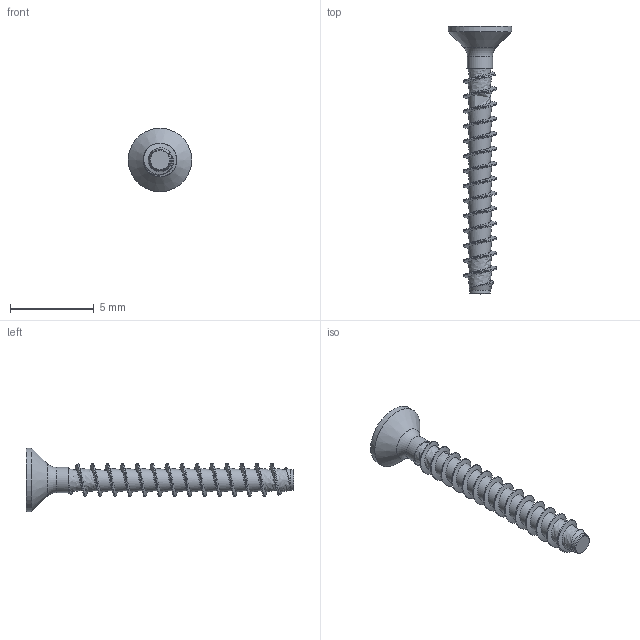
import cadquery as cq
import math


screw_length = 16.0
head_radius = 3.8 / 2
head_rim_height = 0.35
countersink_half_angle = math.radians(45)
neck_fillet_radius = 0.8
shank_radius = 1.5 / 2
shank_end = -2.52

core_radius = 0.62
tip_chamfer = 0.05

thread_radius = 2.0 / 2
pitch = 0.8925
crest_width = 0.06
root_width = 0.19
swell_radius = 0.715
buried_radius = 0.5
turn_gap = 0.005
swell_burial = 0.002
crest_height_at_plus_x = -4.64
turns_below = 13
turns_above = 4

head_fade_radius = 0.82
head_fade_end = -3.73
envelope_radius = 1.1
tip_fade_start = -14.6
tip_fade_end = -15.87
tip_fade_radius = 0.58


def make_head_and_shank():
    """Head, filleted neck and plain shank, as one revolved outline."""
    neck_end_radius = shank_radius + neck_fillet_radius * (1 - math.cos(countersink_half_angle))
    cone_height = (head_radius - neck_end_radius) / math.tan(countersink_half_angle)
    neck_top = -head_rim_height - cone_height
    neck_bottom = neck_top - neck_fillet_radius * math.sin(countersink_half_angle)
    fillet_centre_radius = shank_radius + neck_fillet_radius
    fillet_mid = (
        fillet_centre_radius - neck_fillet_radius * math.cos(countersink_half_angle / 2),
        neck_bottom + neck_fillet_radius * math.sin(countersink_half_angle / 2),
    )
    outline = (
        cq.Workplane("XZ")
        .moveTo(0, 0)
        .lineTo(head_radius, 0)
        .lineTo(head_radius, -head_rim_height)
        .lineTo(neck_end_radius, neck_top)
        .threePointArc(fillet_mid, (shank_radius, neck_bottom))
        .lineTo(shank_radius, shank_end)
        .lineTo(0, shank_end)
        .close()
    )
    return outline.revolve(360, (0, 0, 0), (0, 1, 0))


def make_core():
    """Plain cylinder from inside the head down to the chamfered tip."""
    core = cq.Workplane("XY").workplane(offset=-screw_length).circle(core_radius)
    return core.extrude(screw_length - head_rim_height).faces("<Z").chamfer(tip_chamfer)


def make_thread_envelope():
    """Revolved space that the thread may fill; its conical ends fade the thread out."""
    outline = cq.Workplane("XZ").polyline([
        (0, shank_end),
        (head_fade_radius, shank_end),
        (envelope_radius, head_fade_end),
        (envelope_radius, tip_fade_start),
        (tip_fade_radius, tip_fade_end),
        (0, tip_fade_end),
    ]).close()
    return outline.revolve(360, (0, 0, 0), (0, 1, 0))


def make_thread():
    """Right-handed helical ridge with the tapering core swell on its tip side."""
    start = crest_height_at_plus_x - turns_below * pitch
    height = (turns_below + turns_above) * pitch
    swell_end = start + root_width / 2 - pitch + turn_gap
    helix = cq.Wire.makeHelix(pitch, height, core_radius, cq.Vector(0, 0, start))
    profile = cq.Workplane("XZ").polyline([
        (buried_radius, start + root_width / 2),
        (thread_radius, start + crest_width / 2),
        (thread_radius, start - crest_width / 2),
        (swell_radius, start - root_width / 2),
        (core_radius - swell_burial, swell_end),
        (buried_radius, swell_end),
    ]).close()
    ridge = profile.sweep(cq.Workplane(helix), isFrenet=True)
    return ridge.intersect(make_thread_envelope())


screw = make_core().union(make_thread()).union(make_head_and_shank())
result = screw.rotate((0, 0, 0), (1, 0, 0), -90)